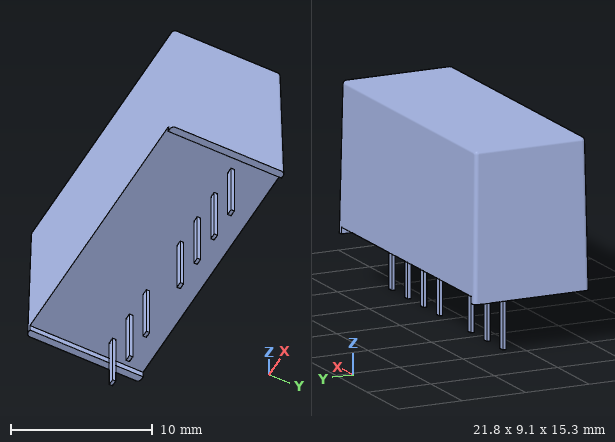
import cadquery as cq

length = 21.8
width = 9.1
total_height = 15.3
pin_drop = 4.1
housing_height = total_height - pin_drop
draft_angle = 1.0
edge_radius = 0.3

standoff = 0.5
foot_length = 0.57

pin_size_x = 0.5
pin_size_y = 0.26
pin_pitch = 2.53
pin_positions = 8
empty_position = 3
pin_row_y = 1.29
pin_embed = 0.22


def make_housing():
    """Drafted block with rounded corners and top, resting on two end feet."""
    block = cq.Workplane("XY").rect(length, width).extrude(housing_height, taper=draft_angle)
    block = block.edges("not(#Z)").fillet(edge_radius).faces(">Z").edges().fillet(edge_radius)
    clearance = cq.Workplane("XY").box(
        length - 2 * foot_length, width, standoff, centered=(True, True, False)
    )
    return block.cut(clearance)


def make_pin(x):
    """Straight pin ending below the feet, rooted in the housing underside."""
    pin_length = pin_drop + standoff + pin_embed
    return (
        cq.Workplane("XY")
        .box(pin_size_x, pin_size_y, pin_length, centered=(True, True, False))
        .translate((x, pin_row_y, -pin_drop))
    )


result = make_housing()
for position in range(pin_positions):
    if position != empty_position:
        pin_x = (position - (pin_positions - 1) / 2) * pin_pitch
        result = result.union(make_pin(pin_x))